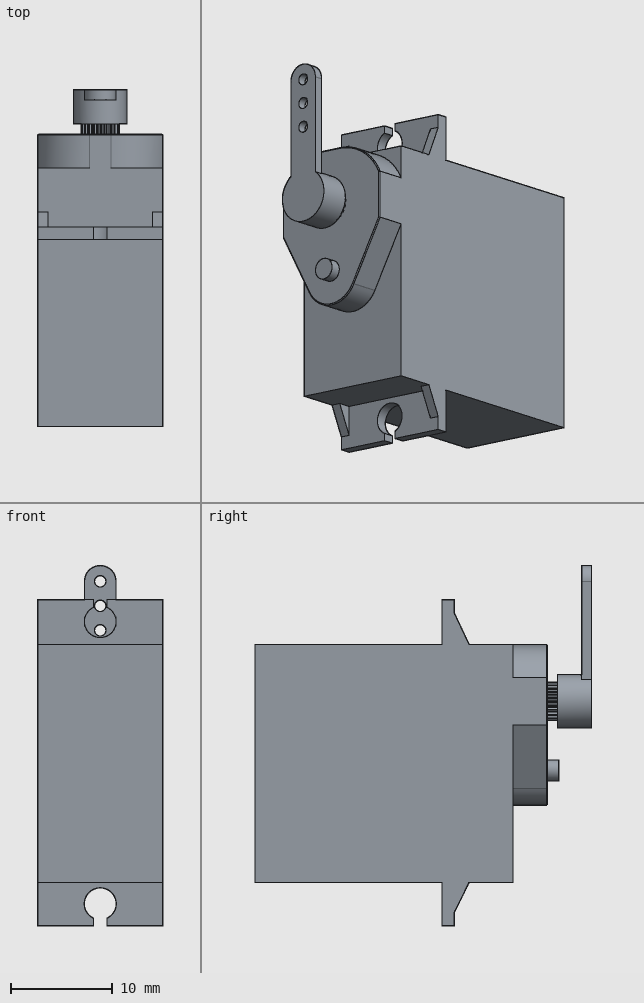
import cadquery as cq
import math


case_width = 12.3
half_width = case_width / 2
case_depth = 25.4
case_bottom = 4.25
case_top = 27.65

flange_bottom = 0.0
flange_top = 32.05
flange_back = 18.38
flange_thickness = 1.25
flange_front = flange_back + flange_thickness
flange_hole_diameter = 3.1
flange_hole_inset = 2.15
flange_slot_width = 1.3
gusset_width = 1.0
gusset_length = 1.45
gusset_inset = 1.3

cover_height = 3.35
cover_top = case_depth + cover_height
cover_chamfer = 0.1
cover_shoulder_radius = 5.6
cover_shoulder_offset = 1.05
cover_tail_radius = 3.2
tail_z = 15.0
pin_z = 15.25
pin_diameter = 2.1
pin_height = 1.15

shaft_z = case_top - cover_shoulder_radius
shaft_diameter = 3.75
shaft_height = 1.0
tooth_count = 21
tooth_depth = 0.18
horn_bottom = cover_top + shaft_height
horn_top = 33.1
hub_diameter = 5.28
arm_thickness = 1.0
arm_width = 3.1
arm_tip = 35.4
arm_end_z = arm_tip - arm_width / 2
arm_hole_diameter = 1.1
arm_hole_spacing = 2.4
arm_hole_count = 3


def xz_plane(y):
    """Workplane at height y, with local axes X and Z; positive extrusion goes toward -Y."""
    return cq.Workplane("XZ", origin=(0, y, 0))


def polar(center, radius, angle):
    """Point at an angle (radians from +X) on a circle."""
    return (center[0] + radius * math.cos(angle), center[1] + radius * math.sin(angle))


def mirrored(point):
    return (-point[0], point[1])


def make_gusset(x_start, edge_z, outer_z):
    """Sloped rib between the case (at edge_z) and a flange that ends at outer_z."""
    outward = math.copysign(1, outer_z - edge_z)
    profile = [
        (flange_front, edge_z),
        (flange_front + gusset_length, edge_z),
        (flange_front, outer_z - outward * gusset_inset),
    ]
    return (
        cq.Workplane("YZ", origin=(x_start, 0, 0))
        .polyline(profile)
        .close()
        .extrude(gusset_width)
    )


def make_flange_opening(outer_z):
    """Screw hole with a narrow slot open to the flange end at outer_z."""
    outward = math.copysign(1, outer_z - (case_bottom + case_top) / 2)
    hole_z = outer_z - outward * flange_hole_inset
    hole = xz_plane(flange_front).center(0, hole_z).circle(flange_hole_diameter / 2).extrude(flange_thickness)
    slot = (
        xz_plane(flange_front)
        .center(0, (hole_z + outer_z) / 2)
        .rect(flange_slot_width, flange_hole_inset)
        .extrude(flange_thickness)
    )
    return hole.union(slot)


def make_case():
    """Rectangular case with a slotted, gusseted flange at each end."""
    body = cq.Workplane("XY").box(
        case_width, case_depth, case_top - case_bottom, centered=(True, False, False)
    ).translate((0, 0, case_bottom))
    flange = cq.Workplane("XY").box(
        case_width, flange_thickness, flange_top - flange_bottom, centered=(True, False, False)
    ).translate((0, flange_back, flange_bottom))
    body = body.union(flange)
    for edge_z, outer_z in ((case_bottom, flange_bottom), (case_top, flange_top)):
        for x_start in (-half_width, half_width - gusset_width):
            body = body.union(make_gusset(x_start, edge_z, outer_z))
        body = body.cut(make_flange_opening(outer_z))
    return body


def make_cover():
    """Gear cover: rounded shoulders cut off by the case sides, tapering to a round tail."""
    shoulder_center = (cover_shoulder_offset, shaft_z)
    shoulder_end_angle = math.acos((half_width - cover_shoulder_offset) / cover_shoulder_radius)
    shoulder_mid = polar(shoulder_center, cover_shoulder_radius, (shoulder_end_angle + math.pi / 2) / 2)
    shoulder_end = polar(shoulder_center, cover_shoulder_radius, shoulder_end_angle)
    side_end = (half_width, 2 * shaft_z - shoulder_end[1])

    tail_center = (0, tail_z)
    rise = side_end[1] - tail_z
    tangent_angle = math.atan2(rise, half_width) - math.acos(cover_tail_radius / math.hypot(half_width, rise))
    tail_start = polar(tail_center, cover_tail_radius, tangent_angle)

    cover = (
        xz_plane(cover_top)
        .moveTo(-cover_shoulder_offset, case_top)
        .lineTo(cover_shoulder_offset, case_top)
        .threePointArc(shoulder_mid, shoulder_end)
        .lineTo(*side_end)
        .lineTo(*tail_start)
        .threePointArc((0, tail_z - cover_tail_radius), mirrored(tail_start))
        .lineTo(*mirrored(side_end))
        .lineTo(*mirrored(shoulder_end))
        .threePointArc(mirrored(shoulder_mid), (-cover_shoulder_offset, case_top))
        .close()
        .extrude(cover_height)
    )
    return cover.faces(">Y").chamfer(cover_chamfer)


def make_pin():
    """Small round pin on the cover, near its tail."""
    return xz_plane(cover_top + pin_height).center(0, pin_z).circle(pin_diameter / 2).extrude(pin_height)


def make_shaft():
    """Output shaft with flat-topped spline teeth."""
    tip_radius = shaft_diameter / 2
    root_radius = tip_radius - tooth_depth
    tooth_radii = (root_radius, tip_radius, tip_radius, root_radius)
    pitch = 2 * math.pi / tooth_count
    points = []
    for tooth in range(tooth_count):
        for step, radius in enumerate(tooth_radii):
            points.append(polar((0, shaft_z), radius, (tooth + step / len(tooth_radii)) * pitch))
    return xz_plane(horn_bottom).polyline(points).close().extrude(shaft_height)


def make_housing():
    """Case, gear cover, pin and splined shaft as one solid."""
    return make_case().union(make_cover()).union(make_pin()).union(make_shaft())


def make_horn():
    """Round hub on the end of the shaft, with a perforated arm pointing to +Z."""
    hub = xz_plane(horn_top).center(0, shaft_z).circle(hub_diameter / 2).extrude(horn_top - horn_bottom)
    arm = (
        xz_plane(horn_top)
        .center(0, (shaft_z + arm_end_z) / 2)
        .rect(arm_width, arm_end_z - shaft_z)
        .extrude(arm_thickness)
    )
    arm_end = xz_plane(horn_top).center(0, arm_end_z).circle(arm_width / 2).extrude(arm_thickness)
    hole_points = [(0, arm_end_z - index * arm_hole_spacing) for index in range(arm_hole_count)]
    holes = xz_plane(horn_top).pushPoints(hole_points).circle(arm_hole_diameter / 2).extrude(arm_thickness)
    return hub.union(arm).union(arm_end).cut(holes)


housing = make_housing()
horn = make_horn()

result = cq.Compound.makeCompound([housing.val(), horn.val()])